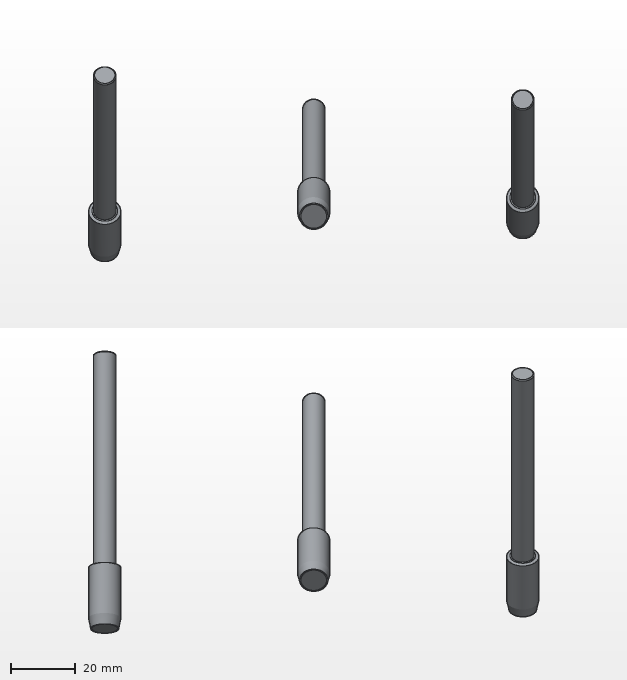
import cadquery as cq
import math

total_length = 90.0

sleeve_diameter = 10.0
sleeve_edge_height = 20.0
foot_diameter = 8.7
foot_height = 3.2

shoulder_angle = 15.0

rod_diameter = 7.0
shank_diameter = 7.9
tip_chamfer = 0.4

sleeve_radius = sleeve_diameter / 2
shank_radius = shank_diameter / 2
rod_radius = rod_diameter / 2


def shoulder_height(radius):
    """Height of the shoulder cone at a given distance from the axis."""
    slope = math.tan(math.radians(shoulder_angle))
    return sleeve_edge_height + (sleeve_radius - radius) * slope


def revolve_about_z(profile):
    """Turn a closed list of (radius, height) points into a solid."""
    return cq.Workplane("XZ").polyline(profile).close().revolve(360, (0, 0, 0), (0, 1, 0))


def make_sleeve():
    """Tube with a tapered foot and a sloping top face."""
    return revolve_about_z([
        (shank_radius, 0),
        (foot_diameter / 2, 0),
        (sleeve_radius, foot_height),
        (sleeve_radius, sleeve_edge_height),
        (shank_radius, shoulder_height(shank_radius)),
    ])


def make_rod():
    """Rod whose shank ends flush with the sleeve's foot and sloping top."""
    return revolve_about_z([
        (0, 0),
        (shank_radius, 0),
        (shank_radius, shoulder_height(shank_radius)),
        (rod_radius, shoulder_height(rod_radius)),
        (rod_radius, total_length - tip_chamfer),
        (rod_radius - tip_chamfer, total_length),
        (0, total_length),
    ])


sleeve = make_sleeve()
rod = make_rod()

result = cq.Compound.makeCompound([sleeve.val(), rod.val()])